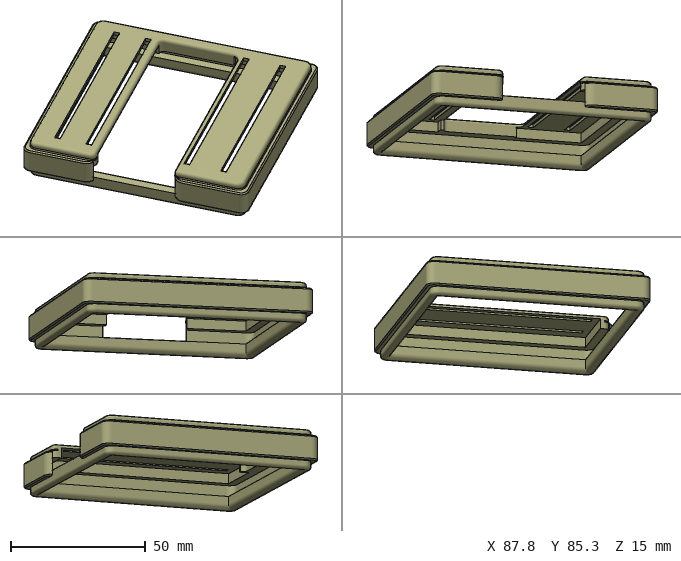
import cadquery as cq
import math

LENGTH_X = 87.8
LENGTH_Y = 85.3
HEIGHT = 15.0

CORE_INSET = 1.9
CORE_X = LENGTH_X - 2 * CORE_INSET
CORE_Y = LENGTH_Y - 2 * CORE_INSET
CORNER_RADIUS = 3.0
EDGE_FILLET = 1.2

WALL = 3.5
INNER_X = CORE_X - 2 * WALL
INNER_Y = CORE_Y - 2 * WALL

BASE_HEIGHT = 5.1
BASE_INNER_FILLET = 2.0

PLATE = 1.3
WALL_BOTTOM = 9.9

BAND_BOTTOM = 3.2
BAND_TOP = 12.6
BAND_CHAMFER = 0.5
COLLAR_WIDTH = 0.3
COLLAR_HEIGHT = 0.5
BAND_END_RADIUS = 4.0

CHANNEL_CENTER_X = -0.5
CHANNEL_WIDTH = 30.7
CHANNEL_LEFT = CHANNEL_CENTER_X - CHANNEL_WIDTH / 2
CHANNEL_RIGHT = CHANNEL_CENTER_X + CHANNEL_WIDTH / 2
CHANNEL_RADIUS = 2.0
CHANNEL_BACK_WALL = 5.1
CHANNEL_BACK = CORE_Y / 2 - CHANNEL_BACK_WALL

SLOT_WIDTH = 2.1
SLOT_LENGTH = 69.0
SLOT_XS = (-32.7, -20.4, 17.9, 32.2)


def rounded_block(size_x, size_y, radius, bottom, top):
    """Upright block centred on Z with rounded vertical edges."""
    block = cq.Workplane("XY", origin=(0, 0, bottom)).rect(size_x, size_y).extrude(top - bottom)
    return block.edges("|Z").fillet(radius)


def plain_block(x_range, y_range, z_range):
    """Sharp-edged block between the given limits."""
    size = [high - low for low, high in (x_range, y_range, z_range)]
    corner = (x_range[0], y_range[0], z_range[0])
    return cq.Workplane("XY").box(*size, centered=False).translate(corner)


def channel_cutter(mouth_y, mouth_radius, bottom, top):
    """Channel whose mouth flares with convex corners that start at mouth_y."""
    back_bend = CHANNEL_BACK - CHANNEL_RADIUS
    mouth_bend = mouth_y + mouth_radius
    outline = (
        cq.Workplane("XY", origin=(0, 0, bottom))
        .moveTo(CHANNEL_LEFT - mouth_radius, mouth_y)
        .radiusArc((CHANNEL_LEFT, mouth_bend), -mouth_radius)
        .lineTo(CHANNEL_LEFT, back_bend)
        .radiusArc((CHANNEL_LEFT + CHANNEL_RADIUS, CHANNEL_BACK), CHANNEL_RADIUS)
        .lineTo(CHANNEL_RIGHT - CHANNEL_RADIUS, CHANNEL_BACK)
        .radiusArc((CHANNEL_RIGHT, back_bend), CHANNEL_RADIUS)
        .lineTo(CHANNEL_RIGHT, mouth_bend)
        .radiusArc((CHANNEL_RIGHT + mouth_radius, mouth_y), -mouth_radius)
        .close()
    )
    return outline.extrude(top - bottom)


def make_base():
    """Rectangular frame with its lower edges rounded, outside and inside."""
    frame = rounded_block(CORE_X, CORE_Y, CORNER_RADIUS, 0, BASE_HEIGHT)
    frame = frame.faces("<Z").edges().fillet(EDGE_FILLET)
    opening = cq.Workplane("XY").rect(INNER_X, INNER_Y).extrude(BASE_HEIGHT)
    frame = frame.cut(opening)
    inner_rim = frame.faces("<Z").wires(cq.selectors.LengthNthSelector(0))
    return inner_rim.edges().fillet(BASE_INNER_FILLET)


def make_lid_blank():
    """Core block above the wall's lower edge, with the channel cut through it."""
    blank = rounded_block(CORE_X, CORE_Y, CORNER_RADIUS, WALL_BOTTOM, HEIGHT)
    return blank.cut(channel_cutter(-CORE_Y / 2, CHANNEL_RADIUS, WALL_BOTTOM, HEIGHT))


def make_lid():
    """Top plate and its hanging wall, rounded along the top edge."""
    lid = make_lid_blank().faces(">Z").edges().fillet(EDGE_FILLET)

    plate_bottom = HEIGHT - PLATE
    hollow = plain_block(
        (-INNER_X / 2, INNER_X / 2), (-INNER_Y / 2, INNER_Y / 2), (WALL_BOTTOM, plate_bottom)
    )
    back_wall = plain_block(
        (CHANNEL_LEFT - PLATE, CHANNEL_RIGHT - CHANNEL_RADIUS),
        (CHANNEL_BACK - CHANNEL_RADIUS, INNER_Y / 2),
        (WALL_BOTTOM, plate_bottom),
    )
    return lid.cut(hollow.cut(back_wall))


def make_collar():
    """Steep shoulder between the top of the band and the side of the lid, absent inside the channel."""
    slope_angle = math.degrees(math.atan2(COLLAR_WIDTH, COLLAR_HEIGHT))
    lid_outline = make_lid_blank().faces("<Z").wires().val().translate((0, 0, BAND_TOP - WALL_BOTTOM))
    collar = (
        cq.Workplane("XY", origin=(0, 0, BAND_TOP))
        .add(lid_outline)
        .toPending()
        .offset2D(COLLAR_WIDTH)
        .extrude(COLLAR_HEIGHT, taper=slope_angle)
    )
    z_range = (BAND_TOP, BAND_TOP + COLLAR_HEIGHT)
    channel = plain_block((CHANNEL_LEFT, CHANNEL_RIGHT), (-LENGTH_Y / 2, CHANNEL_BACK), z_range)
    interior = plain_block((-INNER_X / 2, INNER_X / 2), (-INNER_Y / 2, INNER_Y / 2), z_range)
    return collar.cut(channel).cut(interior)


def make_band():
    """Band with chamfered rims that fits round the core and is open at the channel."""
    band = rounded_block(LENGTH_X, LENGTH_Y, CORNER_RADIUS, BAND_BOTTOM, BAND_TOP)
    band = band.cut(channel_cutter(-LENGTH_Y / 2, BAND_END_RADIUS, BAND_BOTTOM, BAND_TOP))
    band = band.faces("<Z or >Z").edges().chamfer(BAND_CHAMFER)
    return band.cut(rounded_block(CORE_X, CORE_Y, CORNER_RADIUS, BAND_BOTTOM, BAND_TOP))


def slot_cutters():
    """Straight slots through the top plate, parallel to Y."""
    centers = [(x, 0) for x in SLOT_XS]
    plane = cq.Workplane("XY", origin=(0, 0, HEIGHT - PLATE))
    return plane.pushPoints(centers).rect(SLOT_WIDTH, SLOT_LENGTH).extrude(PLATE)


def make_cover():
    """Lid, collar and band as one piece, with the slots cut through its plate."""
    return make_lid().union(make_collar()).union(make_band()).cut(slot_cutters())


base = make_base()
cover = make_cover()

result = cq.Compound.makeCompound([base.val(), cover.val()])